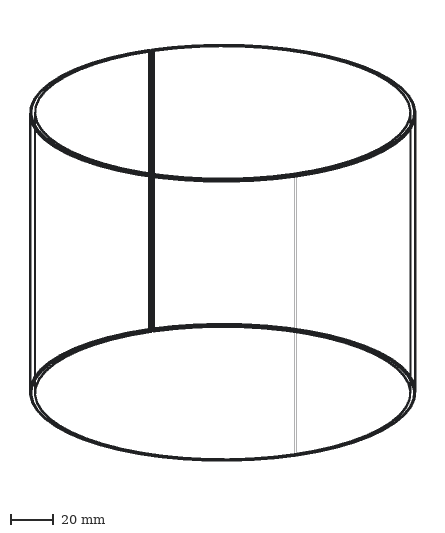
import cadquery as cq

outer_diameter = 180.0
height = 140.0
wall = 2.3
slit_width = 1.5
rim_chamfer = 0.5

outer_radius = outer_diameter / 2


def make_sleeve():
    """Open tube on the XY plane, with the outer edge of both rims chamfered."""
    body = cq.Workplane("XY").circle(outer_radius).extrude(height)
    body = body.faces("<Z or >Z").edges().chamfer(rim_chamfer)
    bore = cq.Workplane("XY").circle(outer_radius - wall).extrude(height)
    return body.cut(bore)


def make_slit():
    """Narrow full-height cutter through the -X wall, with one face on the XZ plane."""
    cutter = cq.Workplane("XY").box(outer_radius, slit_width, height, centered=False)
    return cutter.translate((-outer_radius, 0, 0))


result = make_sleeve().cut(make_slit())